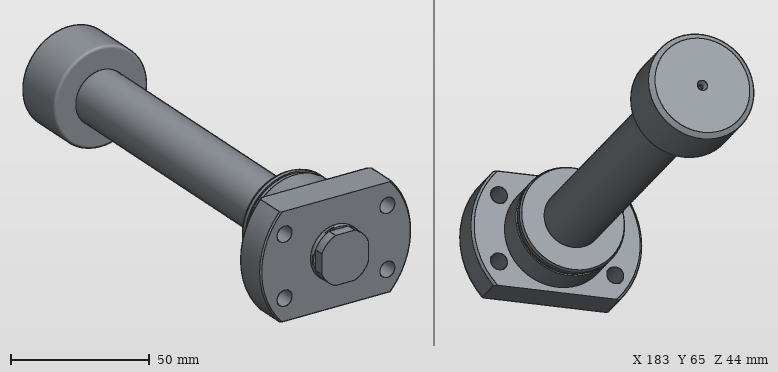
import cadquery as cq
import math

OVERALL_LENGTH = 183.0

HEAD_DIAMETER = 40.0
HEAD_LENGTH = 22.3
HEAD_FRONT_CHAMFER_LENGTH = 1.3
HEAD_FRONT_CHAMFER_DEPTH = 2.0
HEAD_BACK_FILLET = 1.1
ROD_DIAMETER = 22.0
NOSE_DIAMETER = 21.6
NOSE_LENGTH = 4.2
NOSE_CHAMFER_LENGTH = 0.5
NOSE_ACROSS_FLATS = 20.0
CENTER_DRILL_DIAMETER = 1.8
CENTER_DRILL_DEPTH = 3.7
COUNTERSINK_DIAMETER = 3.8
COUNTERSINK_ANGLE = 60.0
DRILL_POINT_ANGLE = 118.0

BARREL_START = 145.1
BARREL_DIAMETER = 40.0
BARREL_CHAMFER_LENGTH = 1.1
BARREL_CHAMFER_DEPTH = 0.5
GROOVE_START = 147.9
GROOVE_WIDTH = 2.2
GROOVE_DEPTH = 0.5
FLANGE_START = 162.9
FLANGE_END = 177.0
FLANGE_DIAMETER = 65.0
FLANGE_ACROSS_FLATS = 44.0
FLANGE_FRONT_CHAMFER = 1.0
FLANGE_BACK_CHAMFER = 0.5
BOLT_CIRCLE_DIAMETER = 51.0
BOLT_HOLE_DIAMETER = 6.4
BOLT_ANGLE = 30.0

head_radius = HEAD_DIAMETER / 2
rod_radius = ROD_DIAMETER / 2
nose_radius = NOSE_DIAMETER / 2
nose_start = OVERALL_LENGTH - NOSE_LENGTH
barrel_radius = BARREL_DIAMETER / 2
groove_end = GROOVE_START + GROOVE_WIDTH
flange_radius = FLANGE_DIAMETER / 2


def turned(profile):
    """Revolve a closed (x, radius) profile about the X axis."""
    return profile.close().revolve(360, (0, 0, 0), (1, 0, 0))


def centered_box(start, end, width, height):
    """Box from X = start to X = end, centred on the X axis."""
    return cq.Workplane("YZ", origin=(start, 0, 0)).rect(width, height).extrude(end - start)


def make_center_drill():
    """Countersunk centre hole with a conical bottom, in the outer face of the head."""
    drill_radius = CENTER_DRILL_DIAMETER / 2
    countersink_radius = COUNTERSINK_DIAMETER / 2
    countersink_depth = (countersink_radius - drill_radius) / math.tan(math.radians(COUNTERSINK_ANGLE / 2))
    point_depth = drill_radius / math.tan(math.radians(DRILL_POINT_ANGLE / 2))
    profile = (
        cq.Workplane("XY")
        .lineTo(0, countersink_radius)
        .lineTo(countersink_depth, drill_radius)
        .lineTo(CENTER_DRILL_DEPTH, drill_radius)
        .lineTo(CENTER_DRILL_DEPTH + point_depth, 0)
    )
    return turned(profile)


def make_piston_rod():
    profile = (
        cq.Workplane("XY")
        .lineTo(0, head_radius - HEAD_FRONT_CHAMFER_DEPTH)
        .lineTo(HEAD_FRONT_CHAMFER_LENGTH, head_radius)
        .lineTo(HEAD_LENGTH - HEAD_BACK_FILLET, head_radius)
        .radiusArc((HEAD_LENGTH, head_radius - HEAD_BACK_FILLET), HEAD_BACK_FILLET)
        .lineTo(HEAD_LENGTH, rod_radius)
        .lineTo(nose_start - NOSE_CHAMFER_LENGTH, rod_radius)
        .lineTo(nose_start, nose_radius)
        .lineTo(OVERALL_LENGTH, nose_radius)
        .lineTo(OVERALL_LENGTH, 0)
    )
    body = turned(profile).cut(make_center_drill())

    nose_blank = centered_box(nose_start, OVERALL_LENGTH, ROD_DIAMETER, ROD_DIAMETER)
    flatted_core = centered_box(nose_start, OVERALL_LENGTH, NOSE_ACROSS_FLATS, NOSE_ACROSS_FLATS)
    return body.cut(nose_blank.cut(flatted_core))


def make_barrel():
    """Gland barrel with a square groove near its chamfered end."""
    profile = (
        cq.Workplane("XY")
        .moveTo(BARREL_START, rod_radius)
        .lineTo(BARREL_START, barrel_radius - BARREL_CHAMFER_DEPTH)
        .lineTo(BARREL_START + BARREL_CHAMFER_LENGTH, barrel_radius)
        .lineTo(GROOVE_START, barrel_radius)
        .lineTo(GROOVE_START, barrel_radius - GROOVE_DEPTH)
        .lineTo(groove_end, barrel_radius - GROOVE_DEPTH)
        .lineTo(groove_end, barrel_radius)
        .lineTo(FLANGE_START, barrel_radius)
        .lineTo(FLANGE_START, rod_radius)
    )
    return turned(profile)


def make_flange():
    """Round flange, chamfered on both rims and cut flat at top and bottom, with four bolt holes."""
    profile = (
        cq.Workplane("XY")
        .moveTo(FLANGE_START, rod_radius)
        .lineTo(FLANGE_START, flange_radius - FLANGE_FRONT_CHAMFER)
        .lineTo(FLANGE_START + FLANGE_FRONT_CHAMFER, flange_radius)
        .lineTo(FLANGE_END - FLANGE_BACK_CHAMFER, flange_radius)
        .lineTo(FLANGE_END, flange_radius - FLANGE_BACK_CHAMFER)
        .lineTo(FLANGE_END, rod_radius)
    )
    flats = centered_box(FLANGE_START, FLANGE_END, FLANGE_DIAMETER, FLANGE_ACROSS_FLATS)
    bolt_y = BOLT_CIRCLE_DIAMETER / 2 * math.cos(math.radians(BOLT_ANGLE))
    bolt_z = BOLT_CIRCLE_DIAMETER / 2 * math.sin(math.radians(BOLT_ANGLE))
    bolt_holes = (
        cq.Workplane("YZ", origin=(FLANGE_START, 0, 0))
        .rect(2 * bolt_y, 2 * bolt_z, forConstruction=True)
        .vertices()
        .circle(BOLT_HOLE_DIAMETER / 2)
        .extrude(FLANGE_END - FLANGE_START)
    )
    return turned(profile).intersect(flats).cut(bolt_holes)


def make_gland():
    return make_barrel().union(make_flange())


piston_rod = make_piston_rod()
gland = make_gland()

result = cq.Compound.makeCompound([piston_rod.val(), gland.val()])